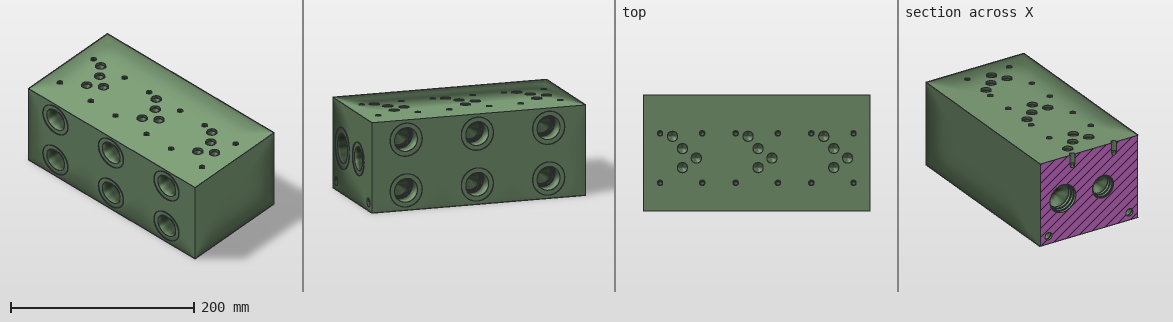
import cadquery as cq
import math

LENGTH, WIDTH, HEIGHT = 247.6, 127.0, 101.5

STATION_PITCH = LENGTH / 3
STATION_CENTERS = [LENGTH / 2 + i * STATION_PITCH for i in (-1, 0, 1)]

WORK_PORT_OFFSET = -1.5
WORK_PORT_HEIGHTS = (22.3, 79.2)

SUPPLY_Y = 45.3
TANK_Y = 97.3
GALLERY_Z = 50.8

SMALL_PORT = {"spotface": 37.1, "thread": 26.5, "core": 24.5, "drill": 23.0, "thread_depth": 18.5}
LARGE_PORT = {"spotface": 46.5, "thread": 33.0, "core": 30.7, "drill": 28.5, "thread_depth": 20.3}
SPOTFACE_DEPTH = 0.7
CORE_BEYOND_THREAD = 3.7
DRILL_BEYOND_CORE = 3.7

MOUNT_EDGE_Y = 11.1
MOUNT_Z = 9.7
MOUNT_THREAD, MOUNT_DRILL = 10.0, 8.5
MOUNT_THREAD_DEPTH, MOUNT_DEPTH = 14.9, 19.8

BOLT_SPAN_X, BOLT_SPAN_Y = 46.0, 54.0
BOLT_FRONT_Y = 31.0
BOLT_THREAD, BOLT_DRILL = 6.0, 5.0
BOLT_THREAD_DEPTH, BOLT_DEPTH = 12.5, 14.9
PASSAGE_DIAMETER, PASSAGE_DEPTH = 11.1, 3.5
PASSAGES = ((13.5, 3.2), (24.5, 16.5), (39.6, 27.0), (24.5, 37.5))

POINT_ANGLE = 118.0

BACKWARD = (0, 1, 0)
RIGHTWARD = (1, 0, 0)
DOWNWARD = (0, 0, -1)


def drilled_hole(sections, mouth_point, inward):
    """Cutter turned from (radius, depth) steps and closed by a drill point."""
    drill_radius, drill_depth = sections[-1]
    tip_depth = drill_depth + drill_radius / math.tan(math.radians(POINT_ANGLE / 2))
    profile = [(0, 0)] + sections + [(0, tip_depth)]
    turned = cq.Workplane("XZ").polyline(profile).close().revolve(360, (0, 0, 0), (0, 1, 0)).val()
    return turned.moved(cq.Plane(mouth_point, normal=inward).location)


def port(size, mouth_point, inward):
    """Spotfaced port with a thread bore, a narrower core bore and a tap drill."""
    spotface, thread, core, drill = [size[key] / 2 for key in ("spotface", "thread", "core", "drill")]
    thread_depth = size["thread_depth"]
    core_depth = thread_depth + CORE_BEYOND_THREAD
    sections = [
        (spotface, 0),
        (spotface, SPOTFACE_DEPTH),
        (thread, SPOTFACE_DEPTH),
        (thread, thread_depth),
        (core, thread_depth),
        (core, core_depth),
        (drill, core_depth),
        (drill, core_depth + DRILL_BEYOND_CORE),
    ]
    return drilled_hole(sections, mouth_point, inward)


def tapped_hole(thread_diameter, drill_diameter, thread_depth, drill_depth, mouth_point, inward):
    """Thread bore followed by a narrower tap drill."""
    thread, drill = thread_diameter / 2, drill_diameter / 2
    sections = [(thread, 0), (thread, thread_depth), (drill, thread_depth), (drill, drill_depth)]
    return drilled_hole(sections, mouth_point, inward)


def work_ports():
    """A and B ports of every station on the front face."""
    return [
        port(SMALL_PORT, (center + WORK_PORT_OFFSET, 0, z), BACKWARD)
        for center in STATION_CENTERS
        for z in WORK_PORT_HEIGHTS
    ]


def gallery_ports():
    """Supply and tank ports on the left face."""
    return [
        port(SMALL_PORT, (0, SUPPLY_Y, GALLERY_Z), RIGHTWARD),
        port(LARGE_PORT, (0, TANK_Y, GALLERY_Z), RIGHTWARD),
    ]


def mounting_holes():
    """Tapped holes in the lower corners of the left face."""
    return [
        tapped_hole(MOUNT_THREAD, MOUNT_DRILL, MOUNT_THREAD_DEPTH, MOUNT_DEPTH, (0, y, MOUNT_Z), RIGHTWARD)
        for y in (MOUNT_EDGE_Y, WIDTH - MOUNT_EDGE_Y)
    ]


def valve_station(center_x):
    """Four valve bolt holes around the four oil passages of one station."""
    left_x = center_x - BOLT_SPAN_X / 2
    rear_y = BOLT_FRONT_Y + BOLT_SPAN_Y
    holes = [
        tapped_hole(BOLT_THREAD, BOLT_DRILL, BOLT_THREAD_DEPTH, BOLT_DEPTH, (x, y, HEIGHT), DOWNWARD)
        for x in (left_x, left_x + BOLT_SPAN_X)
        for y in (BOLT_FRONT_Y, rear_y)
    ]
    radius = PASSAGE_DIAMETER / 2
    for right, forward in PASSAGES:
        mouth_point = (left_x + right, rear_y - forward, HEIGHT)
        holes.append(drilled_hole([(radius, 0), (radius, PASSAGE_DEPTH)], mouth_point, DOWNWARD))
    return holes


cutters = work_ports() + gallery_ports() + mounting_holes()
for station_x in STATION_CENTERS:
    cutters += valve_station(station_x)

block = cq.Workplane("XY").box(LENGTH, WIDTH, HEIGHT, centered=False)
result = cq.Workplane(block.val().cut(*cutters))